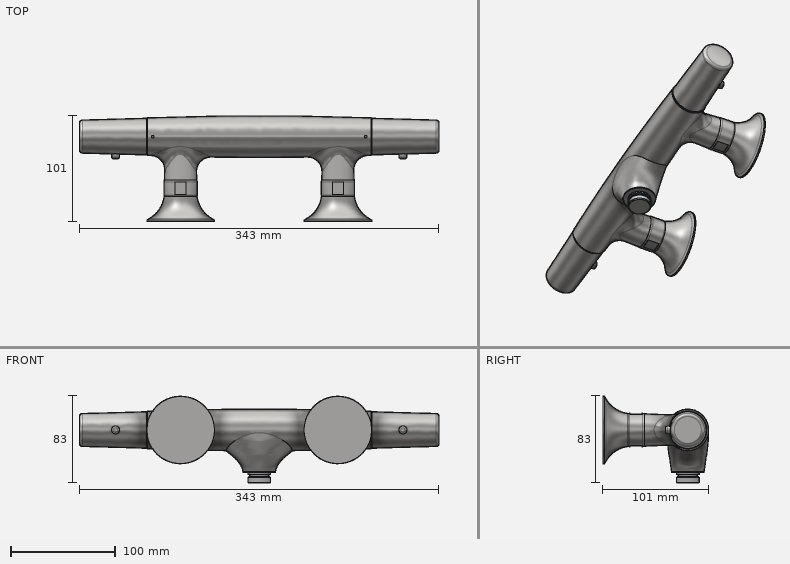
import math
import cadquery as cq

overall_length = 343.0
overall_height = 82.99
bar_radius = 20.0
body_end_radius = 18.0
body_half_length = 106.7
joint_width = 0.8
joint_radius = 16.5
handle_root_radius = 17.6
handle_tip_radius = 15.8
handle_edge_radius = 3.0

pin_offset = 137.0
pin_radius = 3.8
pin_reach = 21.3
pin_edge_radius = 2.0

dimple_offset = 101.5
dimple_radius = 1.2
dimple_depth = 0.8

leg_offset = 75.0
wall_distance = 81.0
neck_start_radius = 14.0
neck_end_radius = 15.6
neck_blend_radius = 13.5
collar_start = 41.5
collar_end = 57.0
collar_radius = 16.0
collar_bevel_depth = 0.3
collar_front_bevel = 1.8
collar_back_bevel = 1.2
collar_band = 2.0
collar_flat_width = 10.6
flare_start_radius = 15.8
flare_mid_distance = 69.0
flare_mid_radius = 20.2
flange_start = 78.0
flange_inner_radius = 29.7
flange_radius = 32.25
flange_rim = 1.5

outlet_bottom = -40.7
outlet_lip_height = 0.9
outlet_lip_radius = 15.4
outlet_radius = 15.6
outlet_top_half_length = 70.0
outlet_top_half_width = 19.85
outlet_flare_power = 1.75
outlet_section_count = 8
nipple_bottom = flange_radius - overall_height
nipple_radius = 10.9
nipple_groove_top = -42.5
nipple_groove_bottom = -44.5
nipple_groove_radius = 9.2
nipple_chamfer = 0.9


def make_body():
    """Barrel-shaped fixed body, turned about the X axis."""
    profile = (
        cq.Workplane("XY")
        .moveTo(-body_half_length, 0)
        .lineTo(-body_half_length, body_end_radius)
        .threePointArc((0, bar_radius), (body_half_length, body_end_radius))
        .lineTo(body_half_length, 0)
        .close()
    )
    return profile.revolve(360, (0, 0, 0), (1, 0, 0))


def make_handle():
    """Tapered handle at the +X end, with the joint groove and the rounded tip."""
    joint_end = body_half_length + joint_width
    tip = overall_length / 2
    handle = (
        cq.Workplane("XY")
        .moveTo(joint_end, 0)
        .lineTo(joint_end, handle_root_radius)
        .lineTo(tip, handle_tip_radius)
        .lineTo(tip, 0)
        .close()
        .revolve(360, (0, 0, 0), (1, 0, 0))
        .faces(">X")
        .edges()
        .fillet(handle_edge_radius)
    )
    joint = cq.Workplane("YZ", origin=(body_half_length, 0, 0)).circle(joint_radius).extrude(joint_width)
    pin = (
        cq.Workplane("XZ", origin=(pin_offset, 0, 0))
        .circle(pin_radius)
        .extrude(pin_reach)
        .faces("<Y")
        .edges()
        .fillet(pin_edge_radius)
    )
    return handle.union(joint).union(pin)


def make_neck(offset):
    """Tapered leg neck running from the bar axis to the collar."""
    return (
        cq.Workplane("XY")
        .lineTo(neck_start_radius, 0)
        .lineTo(neck_end_radius, -collar_start)
        .lineTo(0, -collar_start)
        .close()
        .revolve(360, (0, 0, 0), (0, 1, 0))
        .translate((offset, 0, 0))
    )


def blend_edges(solid, offset):
    """Round the edges where a neck meets the body."""
    junction_box = cq.selectors.BoxSelector(
        (offset - neck_end_radius, -bar_radius, -bar_radius),
        (offset + neck_end_radius, 0, bar_radius),
    )
    return solid.edges(junction_box).fillet(neck_blend_radius)


def make_leg_foot(offset):
    """Collar with flats above and below, then the flared wall flange."""
    foot = (
        cq.Workplane("XY")
        .moveTo(0, -collar_start)
        .lineTo(collar_radius - collar_bevel_depth, -collar_start)
        .lineTo(collar_radius, -(collar_start + collar_front_bevel))
        .lineTo(collar_radius, -(collar_end - collar_back_bevel))
        .lineTo(collar_radius - collar_bevel_depth, -collar_end)
        .lineTo(flare_start_radius, -collar_end)
        .threePointArc((flare_mid_radius, -flare_mid_distance), (flange_inner_radius, -flange_start))
        .lineTo(flange_radius, -(wall_distance - flange_rim))
        .lineTo(flange_radius, -wall_distance)
        .lineTo(0, -wall_distance)
        .close()
        .revolve(360, (0, 0, 0), (0, 1, 0))
    )
    flat_length = collar_end - collar_start - 2 * collar_band
    flat_middle = (collar_start + collar_end) / 2
    flat_height = math.sqrt(collar_radius**2 - (collar_flat_width / 2) ** 2)
    for side in (-1, 1):
        cutter = cq.Workplane("XY").box(2 * collar_radius, flat_length, collar_radius)
        foot = foot.cut(cutter.translate((0, -flat_middle, side * (flat_height + collar_radius / 2))))
    return foot.translate((offset, 0, 0))


def make_outlet():
    """Outlet funnel lofted from a round lip to a long oval inside the bar."""
    funnel_bottom = outlet_bottom + outlet_lip_height
    section = cq.Workplane("XY", origin=(0, 0, funnel_bottom))
    step = -funnel_bottom / outlet_section_count
    for index in range(outlet_section_count + 1):
        rise = index / outlet_section_count
        length_growth = rise**outlet_flare_power
        width_growth = math.sin(rise * math.pi / 2)
        half_length = outlet_radius + (outlet_top_half_length - outlet_radius) * length_growth
        half_width = outlet_radius + (outlet_top_half_width - outlet_radius) * width_growth
        if index > 0:
            section = section.workplane(offset=step)
        section = section.ellipse(half_length, half_width)
    lip_start = cq.Workplane("XY", origin=(0, 0, outlet_bottom))
    lip = lip_start.circle(outlet_lip_radius).extrude(outlet_lip_height)
    return section.loft().union(lip)


def make_dimple(offset):
    """Cutter for a shallow marker dimple in the top of the body."""
    body_drop = (bar_radius - body_end_radius) * (offset / body_half_length) ** 2
    floor = bar_radius - body_drop - dimple_depth
    return cq.Workplane("XY", origin=(offset, 0, floor)).circle(dimple_radius).extrude(2 * dimple_depth)


def make_nipple():
    """Hose nipple with a relief groove and chamfered end, turned about the Z axis."""
    return (
        cq.Workplane("XZ")
        .moveTo(0, outlet_bottom)
        .lineTo(nipple_radius, outlet_bottom)
        .lineTo(nipple_radius, nipple_groove_top)
        .lineTo(nipple_groove_radius, nipple_groove_top)
        .lineTo(nipple_groove_radius, nipple_groove_bottom)
        .lineTo(nipple_radius - nipple_chamfer, nipple_groove_bottom)
        .lineTo(nipple_radius, nipple_groove_bottom - nipple_chamfer)
        .lineTo(nipple_radius, nipple_bottom + nipple_chamfer)
        .lineTo(nipple_radius - nipple_chamfer, nipple_bottom)
        .lineTo(0, nipple_bottom)
        .close()
        .revolve(360, (0, 0, 0), (0, 1, 0))
    )


body = make_body()
for leg_x in (-leg_offset, leg_offset):
    body = blend_edges(body.union(make_neck(leg_x)), leg_x)
    body = body.union(make_leg_foot(leg_x))

body = body.union(make_outlet()).union(make_nipple())

for dimple_x in (-dimple_offset, dimple_offset):
    body = body.cut(make_dimple(dimple_x))

handle = make_handle()
result = body.union(handle).union(handle.mirror("YZ"))